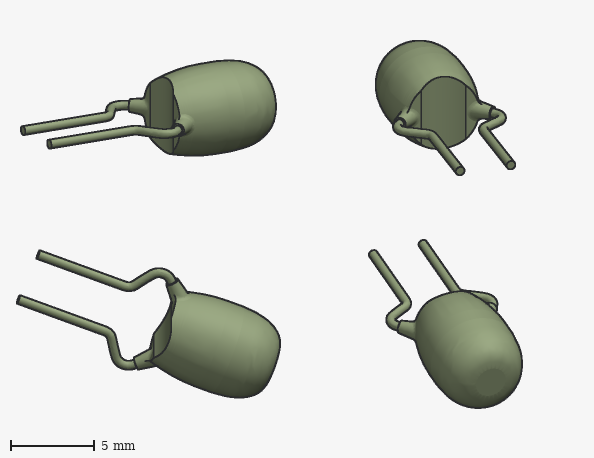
import cadquery as cq
import math

total_length = 15.76
total_width = 7.0

crown_flat_radius = 0.95
shoulder_radius = 2.27
shoulder_y = 14.97
body_diameter = 5.5
body_radius = body_diameter / 2
belt_top = 12.85
belt_bottom = 11.8
waist_radius = 2.55
waist_y = 9.9
base_radius = 2.24
base_y = 8.67

base_tangent = (0.3, 1)
belt_bottom_tangent = (0, 1)
belt_top_tangent = (-0.05, 1)
crown_tangent = (-1, 0)

arch_half_width = 1.4
arch_height = 0.35

wire_diameter = 0.55
wire_radius = wire_diameter / 2
lead_x = 1.59
straight_length = 5.6
kink_points = [(2.05, 6.24), (2.76, 6.71)]
widest_point = (total_width / 2 - wire_radius, 7.45)

sleeve_tip = (2.9, 8.12)
sleeve_tip_radius = 0.4
sleeve_angle = math.radians(43.5)
sleeve_taper = math.radians(8.2)
sleeve_length = 1.73
sleeve_fillet = 0.32
sleeve_direction = (-math.sin(sleeve_angle), math.cos(sleeve_angle))
sleeve_end_radius = sleeve_tip_radius + sleeve_length * math.tan(sleeve_taper)

joint_margin = 0.15
joint_reach = 0.87
joint_bottom = base_y - joint_margin
joint_top = base_y + joint_reach
joint_half_height = sleeve_end_radius


def make_body():
    profile = (
        cq.Workplane("XY")
        .moveTo(0, base_y)
        .lineTo(base_radius, base_y)
        .spline(
            [(waist_radius, waist_y), (body_radius, belt_bottom)],
            tangents=[base_tangent, belt_bottom_tangent],
            includeCurrent=True,
        )
        .lineTo(body_radius, belt_top)
        .spline(
            [(shoulder_radius, shoulder_y), (crown_flat_radius, total_length)],
            tangents=[belt_top_tangent, crown_tangent],
            includeCurrent=True,
        )
        .lineTo(0, total_length)
        .close()
    )
    barrel = profile.revolve(360, (0, 0, 0), (0, 1, 0))
    arch = (
        cq.Workplane("XY")
        .moveTo(-arch_half_width, base_y)
        .threePointArc((0, base_y + arch_height), (arch_half_width, base_y))
        .close()
        .extrude(body_radius, both=True)
    )
    return barrel.cut(arch)


def make_sleeve():
    """Right-hand sleeve, widening from its tip into the body."""
    cone = cq.Solid.makeCone(
        sleeve_tip_radius,
        sleeve_end_radius,
        sleeve_length,
        cq.Vector(*sleeve_tip),
        cq.Vector(*sleeve_direction),
    )
    return cq.Workplane(cone)


def make_lead():
    """Right-hand lead, ending halfway along the inside of its sleeve."""
    lead_end = [tip + step * sleeve_length / 2 for tip, step in zip(sleeve_tip, sleeve_direction)]
    path = (
        cq.Workplane("XY")
        .moveTo(lead_x, 0)
        .lineTo(lead_x, straight_length)
        .spline(kink_points + [widest_point], tangents=[(0, 1), (0, 1)], includeCurrent=True)
        .spline([sleeve_tip], tangents=[(0, 1), sleeve_direction], includeCurrent=True)
        .lineTo(*lead_end)
    )
    return cq.Workplane("XZ").center(lead_x, 0).circle(wire_radius).sweep(path)


def fillet_joint(body, side):
    """Round the joint of body and sleeve; side is 1 for +X and -1 for -X."""
    joint_edges = cq.selectors.BoxSelector(
        (side * arch_half_width, joint_bottom, -joint_half_height),
        (side * body_radius, joint_top, joint_half_height),
        boundingbox=True,
    )
    return body.edges(joint_edges).fillet(sleeve_fillet)


sleeve = make_sleeve()
lead = make_lead()
result = make_body().union(sleeve).union(sleeve.mirror("YZ"))
for side in (-1, 1):
    result = fillet_joint(result, side)
result = result.union(lead).union(lead.mirror("YZ"))